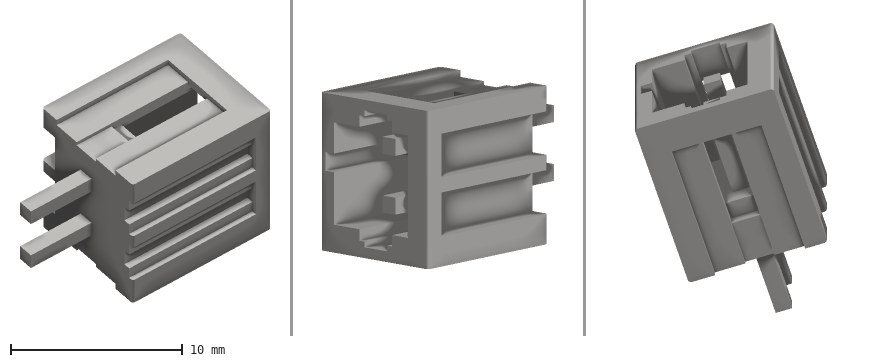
import cadquery as cq

WIDTH = 8.5
HEIGHT = 9.4
DEPTH = 10.3
CORNER_RADIUS = 0.19

PIN_SIZE = 1.0
PIN_X = -0.12
PIN_PITCH = 3.5
UPPER_PIN_Z = 1.9
OVERALL_LENGTH = 14.8
PIN_PROJECTION = OVERALL_LENGTH - DEPTH
PIN_INNER_END = 9.18
PIN_ROWS = (UPPER_PIN_Z, UPPER_PIN_Z - PIN_PITCH)

POCKET_LENGTH = 9.16
POCKET_HEIGHT = 2.6
LEFT_POCKET_DEPTH = 1.2
RIGHT_POCKET_DEPTH = 0.33
RIGHT_GROOVE_DEPTH = 0.78
RIGHT_GROOVE_HEIGHT = 1.11

RECESS_LENGTH = 8.29
RECESS_WIDTH = 5.5
RECESS_DEPTH = 0.4
GROOVE_X = -0.1
GROOVE_WIDTH = 1.79
GROOVE_DEPTH = 0.64

CAVITY_START = 3.61
CAVITY_LEFT = -2.66
CAVITY_RIGHT = 3.18
CAVITY_ROOF_DEPTH = 1.66

KEYWAY_START = 2.59
KEYWAY_FLOOR_DEPTH = 1.35
UNDERCUT_DEPTH = 0.98
UNDERCUT_REACH = 0.4
UNDERCUT_WIDTH = GROOVE_WIDTH + 2 * UNDERCUT_REACH

SIDE_KEYWAY_X = 3.88
SIDE_KEYWAY_BOTTOM = 0.07
SIDE_KEYWAY_TOP = 1.18

RIGHT = WIDTH / 2
LEFT = -RIGHT
TOP = HEIGHT / 2


def block(x_min, x_max, y_min, y_max, z_min, z_max):
    """Axis-aligned box between the given limits."""
    size = (x_max - x_min, y_max - y_min, z_max - z_min)
    return cq.Workplane("XY").box(*size, centered=False).translate((x_min, y_min, z_min))


def top_slot(center_x, width, y_min, y_max, upper_depth, lower_depth):
    """Slot between two depths below the top face."""
    half = width / 2
    return block(center_x - half, center_x + half, y_min, y_max, TOP - lower_depth, TOP - upper_depth)


def row_slot(x_min, x_max, y_min, y_max, center_z, height):
    """Slot centred on the height of one pin row."""
    return block(x_min, x_max, y_min, y_max, center_z - height / 2, center_z + height / 2)


body = block(LEFT, RIGHT, 0, DEPTH, -TOP, TOP).edges("|Z").fillet(CORNER_RADIUS)

cavity_top = TOP - CAVITY_ROOF_DEPTH
body = body.cut(block(CAVITY_LEFT, CAVITY_RIGHT, CAVITY_START, DEPTH, -cavity_top, cavity_top))
body = body.cut(
    block(CAVITY_RIGHT, SIDE_KEYWAY_X, CAVITY_START, DEPTH, SIDE_KEYWAY_BOTTOM, SIDE_KEYWAY_TOP)
)

top_slots = (
    top_slot(PIN_X, RECESS_WIDTH, 0, RECESS_LENGTH, 0, RECESS_DEPTH),
    top_slot(GROOVE_X, GROOVE_WIDTH, 0, RECESS_LENGTH, 0, GROOVE_DEPTH),
    top_slot(GROOVE_X, GROOVE_WIDTH, KEYWAY_START, DEPTH, GROOVE_DEPTH, KEYWAY_FLOOR_DEPTH),
    top_slot(GROOVE_X, UNDERCUT_WIDTH, KEYWAY_START, DEPTH, UNDERCUT_DEPTH, KEYWAY_FLOOR_DEPTH),
    top_slot(GROOVE_X, UNDERCUT_WIDTH, CAVITY_START, DEPTH, UNDERCUT_DEPTH, CAVITY_ROOF_DEPTH),
)
for slot in top_slots:
    body = body.cut(slot).cut(slot.mirror("XY"))

for row_z in PIN_ROWS:
    left_floor = LEFT + LEFT_POCKET_DEPTH
    right_floor = RIGHT - RIGHT_POCKET_DEPTH
    groove_floor = RIGHT - RIGHT_GROOVE_DEPTH
    body = body.cut(row_slot(LEFT, left_floor, 0, POCKET_LENGTH, row_z, POCKET_HEIGHT))
    body = body.cut(row_slot(right_floor, RIGHT, 0, POCKET_LENGTH, row_z, POCKET_HEIGHT))
    body = body.cut(row_slot(groove_floor, RIGHT, 0, POCKET_LENGTH, row_z, RIGHT_GROOVE_HEIGHT))

for row_z in PIN_ROWS:
    half_pin = PIN_SIZE / 2
    pin = row_slot(PIN_X - half_pin, PIN_X + half_pin, -PIN_PROJECTION, PIN_INNER_END, row_z, PIN_SIZE)
    body = body.union(pin)

result = body